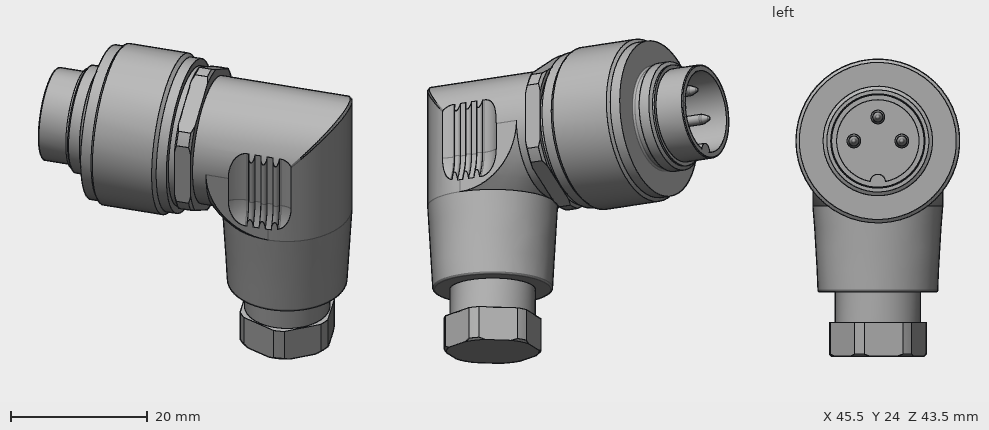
import cadquery as cq
import math


total_length = 45.5
elbow_dia = 19.0
elbow_r = elbow_dia / 2
cable_x = total_length - elbow_r
mitre_blunting = 0.25

sleeve_dia = 13.8
sleeve_bore_dia = 12.05
bore_depth = 9.1
rim_chamfer = 0.15
shoulder_x = 4.4
shoulder_dia = 14.92
collar_dia = 16.0
shoulder_length = 0.27
collar_bevel = 0.3
groove_start_x = 6.65
groove_dia = 15.0
groove_fillet = 0.27

ring_start_x = 7.9
ring_end_x = 21.0
ring_end_dia = 23.0
grip_start_x = 9.5
grip_end_x = 19.47
grip_dia = 24.0
grip_front_bevel = 0.35
grip_back_bevel = 0.55
neck_dia = 20.9

nut_start_x = 21.95
nut_length = 2.5
nut_flats = 20.9
nut_corner_dia = ring_end_dia
nut_bevel_length = 0.3
nut_bevel_depth = 0.45

pin_dia = 1.5
pin_circle_r = 3.5
pin_tip_x = 1.35
pin_tip_length = 1.35
pin_dome = 0.2
pin_edge_length = 0.27
pin_edge_depth = 0.05
pin_tip_dia = 0.65
pin_foot_dia = 2.0
pin_foot_length = 0.45
key_dia = 2.25
key_top_z = -4.85

pocket_x = 35.1
pocket_floor_length = 5.2
pocket_length = 10.37
pocket_depth = 0.95
pocket_bend_z = -3.8
pocket_bottom_z = -7.7
rib_dia = 0.95
rib_pitch = 1.85
rib_count = 3

cone_end_z = -22.05
cone_end_dia = 17.5
cone_end_fillet = 0.27
stem_dia = 12.5
gland_top_z = -26.53
gland_bottom_z = -31.5
gland_flats = 13.0
gland_corner_dia = 14.2
gland_turn = 7.4
gland_bevel = 0.3


def rod(x_start, x_end, dia, z=0.0):
    """Round rod parallel to X."""
    plane = cq.Workplane("YZ", origin=(x_start, 0, z))
    return plane.circle(dia / 2).extrude(x_end - x_start)


def post(z_start, z_end, dia):
    """Round rod on the cable axis."""
    plane = cq.Workplane("XY", origin=(cable_x, 0, z_start))
    return plane.circle(dia / 2).extrude(z_end - z_start)


def hex_prism(plane, flats, length):
    """Hexagonal prism given by its width across flats, with a corner on the plane's local X."""
    return plane.polygon(6, flats / math.cos(math.radians(30))).extrude(length)


def elbow():
    straight = rod(nut_start_x, cable_x, elbow_dia)
    crossing = rod(cable_x, total_length, elbow_dia)
    mitred = crossing.intersect(post(-elbow_r, elbow_r, elbow_dia))
    blunting_plane = cq.Plane(origin=(cable_x, 0, 0), xDir=(1, 0, 1), normal=(-1, 0, 1))
    blunting = cq.Workplane(blunting_plane).ellipse(elbow_r * math.sqrt(2) - mitre_blunting, elbow_r)
    mitred = mitred.intersect(blunting.extrude(elbow_dia, both=True))
    body = straight.union(mitred).union(post(-elbow_r, 0, elbow_dia))
    ball = cq.Workplane("XY").sphere(elbow_r * math.sqrt(2)).translate((cable_x, 0, 0))
    corner = cq.Workplane("XY").box(elbow_r, elbow_dia, elbow_r)
    corner = corner.translate((cable_x - elbow_r / 2, 0, -elbow_r / 2))
    return body.union(corner.intersect(ball))


def side_pocket():
    """Cutter for the ribbed pocket in the -Y side."""
    floor_y = -elbow_r + pocket_depth
    half_floor = pocket_floor_length / 2
    run = (pocket_length - pocket_floor_length) / 2
    end_r = (run**2 + pocket_depth**2) / (2 * pocket_depth)
    clearance = 0.45
    reach = math.sqrt(end_r**2 - (end_r - pocket_depth - clearance) ** 2)
    half_angle = math.asin(reach / end_r) / 2
    mid_x = half_floor + end_r * math.sin(half_angle)
    mid_y = floor_y - end_r * (1 - math.cos(half_angle))
    outer_y = -elbow_r - clearance

    def ribbed_section():
        section = cq.Workplane("XY", origin=(pocket_x, 0, pocket_bend_z))
        section = section.moveTo(-half_floor - reach, outer_y)
        section = section.threePointArc((-mid_x, mid_y), (-half_floor, floor_y))
        for i in range(rib_count):
            rib_x = (i - (rib_count - 1) / 2) * rib_pitch
            section = section.lineTo(rib_x - rib_dia / 2, floor_y)
            section = section.threePointArc(
                (rib_x, floor_y - rib_dia / 2), (rib_x + rib_dia / 2, floor_y)
            )
        section = section.lineTo(half_floor, floor_y)
        section = section.threePointArc((mid_x, mid_y), (half_floor + reach, outer_y))
        return section.close()

    straight = ribbed_section().extrude(elbow_r - pocket_bend_z)
    drop = pocket_bend_z - pocket_bottom_z
    bend_r = (drop**2 + pocket_depth**2) / (2 * pocket_depth)
    pivot_y = floor_y - bend_r
    bend = ribbed_section().revolve(60, (0.45, pivot_y, 0), (0, pivot_y, 0))
    return straight.union(bend)


def cable_outlet():
    cone = (
        cq.Workplane("XZ", origin=(cable_x, 0, 0))
        .moveTo(0, -elbow_r)
        .lineTo(elbow_r, -elbow_r)
        .lineTo(cone_end_dia / 2, cone_end_z)
        .lineTo(0, cone_end_z)
        .close()
        .revolve(360, (0, 0, 0), (0, 1, 0))
        .faces("<Z")
        .edges()
        .fillet(cone_end_fillet)
    )
    stem = post(gland_top_z, cone_end_z, stem_dia)
    height = gland_top_z - gland_bottom_z
    plane = cq.Workplane("XY", origin=(cable_x, 0, gland_bottom_z))
    gland = hex_prism(plane.transformed(rotate=(0, 0, gland_turn - 90)), gland_flats, height)
    blank = post(gland_bottom_z, gland_top_z, gland_corner_dia)
    blank = blank.faces("<Z").edges().chamfer(gland_bevel)
    return cone.union(stem).union(gland.intersect(blank))


def plug_and_ring():
    """Turned sleeve, collar, coupling ring and neck, as one revolved profile."""
    collar_x = shoulder_x + shoulder_length
    arc_inset = groove_fillet * (1 - math.sqrt(0.5))
    groove_r = groove_dia / 2
    profile = (
        cq.Workplane("XY")
        .lineTo(0, sleeve_dia / 2 - rim_chamfer)
        .lineTo(rim_chamfer, sleeve_dia / 2)
        .lineTo(shoulder_x, sleeve_dia / 2)
        .lineTo(shoulder_x, shoulder_dia / 2)
        .lineTo(collar_x, shoulder_dia / 2)
        .lineTo(collar_x + collar_bevel, collar_dia / 2)
        .lineTo(groove_start_x, collar_dia / 2)
        .lineTo(groove_start_x, groove_r + groove_fillet)
        .threePointArc(
            (groove_start_x + arc_inset, groove_r + arc_inset),
            (groove_start_x + groove_fillet, groove_r),
        )
        .lineTo(ring_start_x - groove_fillet, groove_r)
        .threePointArc(
            (ring_start_x - arc_inset, groove_r + arc_inset),
            (ring_start_x, groove_r + groove_fillet),
        )
        .lineTo(ring_start_x, ring_end_dia / 2)
        .lineTo(grip_start_x, ring_end_dia / 2)
        .lineTo(grip_start_x + grip_front_bevel, grip_dia / 2)
        .lineTo(grip_end_x - grip_back_bevel, grip_dia / 2)
        .lineTo(grip_end_x, ring_end_dia / 2)
        .lineTo(ring_end_x, ring_end_dia / 2)
        .lineTo(ring_end_x, neck_dia / 2)
        .lineTo(nut_start_x, neck_dia / 2)
        .lineTo(nut_start_x, 0)
        .close()
    )
    return profile.revolve(360, (0, 0, 0), (1, 0, 0))


def lock_nut():
    plane = cq.Workplane("YZ", origin=(nut_start_x, 0, 0)).transformed(rotate=(0, 0, 90))
    blank = rod(nut_start_x, nut_start_x + nut_length, nut_corner_dia)
    blank = blank.faces("<X or >X").edges().chamfer(nut_bevel_length, nut_bevel_depth)
    return hex_prism(plane, nut_flats, nut_length).intersect(blank)


def pin(y, z):
    """Contact pin with a domed, tapered tip and a conical foot on the bore floor."""
    pin_r = pin_dia / 2
    tip_r = pin_tip_dia / 2
    dome_end_x = pin_tip_x + pin_dome
    dome_r = (tip_r**2 + pin_dome**2) / (2 * pin_dome)
    half_angle = math.asin(tip_r / dome_r) / 2
    dome_mid = (pin_tip_x + dome_r * (1 - math.cos(half_angle)), dome_r * math.sin(half_angle))
    shaft_x = pin_tip_x + pin_tip_length
    profile = (
        cq.Workplane("XY", origin=(0, y, z))
        .moveTo(pin_tip_x, 0)
        .threePointArc(dome_mid, (dome_end_x, tip_r))
        .lineTo(shaft_x - pin_edge_length, pin_r - pin_edge_depth)
        .lineTo(shaft_x, pin_r)
        .lineTo(bore_depth - pin_foot_length, pin_r)
        .lineTo(bore_depth, pin_foot_dia / 2)
        .lineTo(bore_depth, 0)
        .close()
    )
    return profile.revolve(360, (0, 0, 0), (1, 0, 0))


def key():
    """Half-round key along the bottom of the bore."""
    bar = rod(0, bore_depth, key_dia, z=key_top_z - key_dia / 2)
    return bar.intersect(rod(0, bore_depth, (sleeve_bore_dia + sleeve_dia) / 2))


pocket = side_pocket()
result = elbow().union(cable_outlet())
result = result.cut(pocket).cut(pocket.mirror("XZ"))
result = result.union(plug_and_ring()).union(lock_nut())

result = result.cut(rod(0, bore_depth, sleeve_bore_dia))
for pin_y, pin_z in [(pin_circle_r, 0), (0, pin_circle_r), (-pin_circle_r, 0)]:
    result = result.union(pin(pin_y, pin_z))
result = result.union(key())